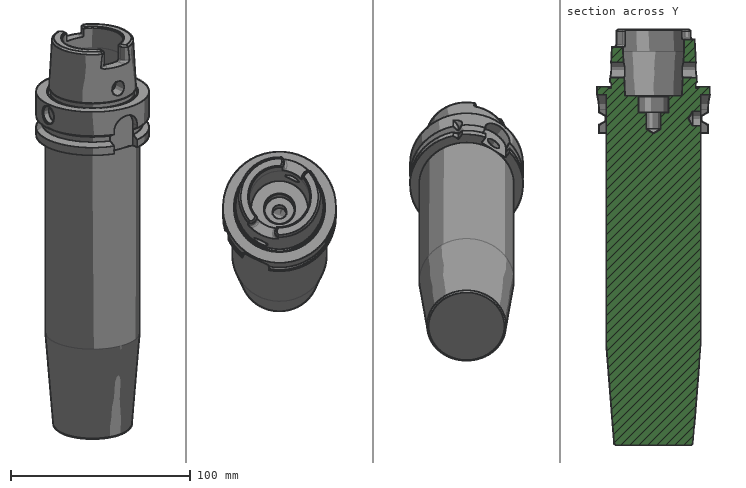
import cadquery as cq
import math


TOTAL_HEIGHT = 232
FLANGE_TOP = 200.0
FLANGE_BOTTOM = 174
GROOVE_TOP = 185.5
RIM_TOP = 178.5
CONE_TOP = 56.1

BODY_RADIUS = 26.5
NOSE_RADIUS = 22.0
NOSE_CHAMFER = 1.0

FLANGE_RADIUS = 31.5
GROOVE_RADIUS = 28.0
GROOVE_SLOPE_HEIGHT = 1.97

TAPER_BASE_RADIUS = 24.3
TAPER_TIP_RADIUS = 22.7
RIM_CHAMFER = 1.2
RELIEF_TOP = 202.5
RELIEF_RADIUS = 23.7
RELIEF_SLOPE = 0.7
FACE_RECESS_RADIUS = 25.5
FACE_RECESS_DEPTH = 0.7

BORE_RADIUS = 17.0
BORE_STRAIGHT_DEPTH = 12.3
CAVITY_DEPTH = 37
CAVITY_FLOOR_RADIUS = 15.8
BORE_CHAMFER = 0.7
COOLANT_RADIUS = 8.3
COOLANT_CHAMFER = 0.5
COOLANT_DEPTH = 9.3
CENTER_HOLE_RADIUS = 4.0
CENTER_HOLE_DEPTH = 9.3
DRILL_POINT_ANGLE = 118

SLOT_HALF_WIDTH = 6.0
SLOT_CORNER_RADIUS = 3.5
SLOT_CORNER_START = 17.5
SLOT_FLOOR_FILLET = 1.5
SLOT_INNER_END = 7
SHALLOW_SLOT_DEPTH = 5.8
DEEP_SLOT_DEPTH = 10.0

CROSS_HOLE_RADIUS = 4.2
CROSS_HOLE_LEVEL = 209.2

KEYWAY_RADIUS = 8.1
KEYWAY_CENTER_LEVEL = 187.1
KEYWAY_FLOOR = BODY_RADIUS
KEYWAY_HOLE_RADIUS = 4.0
KEYWAY_HOLE_LEVEL = 182.0
KEYWAY_HOLE_DEPTH = 4.6
NOTCH_RADIUS = 5.5
NOTCH_SIDE = 20.0
NOTCH_FLOOR = 20.9
NOTCH_CENTER_LEVEL = 187.8
CHIP_HOLE_RADIUS = 4.9
CHIP_HOLE_LEVEL = 193.2
CHIP_HOLE_DEPTH = 4.6
CHIP_HOLE_CHAMFER = 0.5
CHIP_PILOT_RADIUS = 0.5
CHIP_PILOT_DEPTH = 1.2

CLEARANCE = 4.6
OUTSIDE = FLANGE_RADIUS + CLEARANCE


def turned(profile):
    """Revolve a closed outline of (radius, height) points about Z."""
    return cq.Workplane("XZ").polyline(profile).close().revolve(360, (0, 0, 0), (0, 1, 0))


def drill(radius, depth, origin, direction):
    """Cylindrical drill body ending in a conical point beyond its depth."""
    point = cq.Vector(*origin)
    axis = cq.Vector(*direction)
    point_length = radius / math.tan(math.radians(DRILL_POINT_ANGLE / 2))
    shank = cq.Solid.makeCylinder(radius, depth, point, axis)
    tip = cq.Solid.makeCone(radius, 0, point_length, point + axis * depth, axis)
    return cq.Workplane(shank.fuse(tip))


def body():
    """Solid of revolution for the chuck, flange and taper."""
    return turned([
        (0, 0),
        (NOSE_RADIUS - NOSE_CHAMFER, 0),
        (NOSE_RADIUS, NOSE_CHAMFER),
        (BODY_RADIUS, CONE_TOP),
        (BODY_RADIUS, FLANGE_BOTTOM),
        (FLANGE_RADIUS, FLANGE_BOTTOM),
        (FLANGE_RADIUS, RIM_TOP),
        (GROOVE_RADIUS, RIM_TOP + GROOVE_SLOPE_HEIGHT),
        (GROOVE_RADIUS, GROOVE_TOP - GROOVE_SLOPE_HEIGHT),
        (FLANGE_RADIUS, GROOVE_TOP),
        (FLANGE_RADIUS, FLANGE_TOP),
        (FACE_RECESS_RADIUS, FLANGE_TOP),
        (FACE_RECESS_RADIUS - FACE_RECESS_DEPTH, FLANGE_TOP - FACE_RECESS_DEPTH),
        (RELIEF_RADIUS, FLANGE_TOP - FACE_RECESS_DEPTH),
        (RELIEF_RADIUS, RELIEF_TOP - RELIEF_SLOPE),
        (TAPER_BASE_RADIUS, RELIEF_TOP),
        (TAPER_TIP_RADIUS, TOTAL_HEIGHT - RIM_CHAMFER),
        (TAPER_TIP_RADIUS - RIM_CHAMFER, TOTAL_HEIGHT),
        (0, TOTAL_HEIGHT),
    ])


def cavity():
    """Bore of the hollow taper with the coolant socket and centre hole in its floor."""
    cavity_floor = TOTAL_HEIGHT - CAVITY_DEPTH
    coolant_floor = cavity_floor - COOLANT_DEPTH
    bore = turned([
        (0, coolant_floor),
        (COOLANT_RADIUS, coolant_floor),
        (COOLANT_RADIUS, cavity_floor - COOLANT_CHAMFER),
        (COOLANT_RADIUS + COOLANT_CHAMFER, cavity_floor),
        (CAVITY_FLOOR_RADIUS, cavity_floor),
        (BORE_RADIUS, TOTAL_HEIGHT - BORE_STRAIGHT_DEPTH),
        (BORE_RADIUS, TOTAL_HEIGHT - BORE_CHAMFER),
        (BORE_RADIUS + BORE_CHAMFER, TOTAL_HEIGHT),
        (0, TOTAL_HEIGHT),
    ])
    return bore.union(drill(CENTER_HOLE_RADIUS, CENTER_HOLE_DEPTH, (0, 0, coolant_floor), (0, 0, -1)))


def drive_slot_outline(level):
    """Closed outline of the +X rim slot, flaring outwards round the ends of the taper wall."""
    flare_x = SLOT_CORNER_START + SLOT_CORNER_RADIUS
    flare_y = SLOT_HALF_WIDTH + SLOT_CORNER_RADIUS
    outer_y = flare_y + CLEARANCE
    arc_x = SLOT_CORNER_START + SLOT_CORNER_RADIUS * math.sin(math.pi / 4)
    arc_y = flare_y - SLOT_CORNER_RADIUS * math.cos(math.pi / 4)
    return (
        cq.Workplane("XY", origin=(0, 0, level))
        .moveTo(SLOT_INNER_END, -SLOT_HALF_WIDTH)
        .lineTo(SLOT_CORNER_START, -SLOT_HALF_WIDTH)
        .threePointArc((arc_x, -arc_y), (flare_x, -flare_y))
        .lineTo(flare_x, -outer_y)
        .lineTo(OUTSIDE, -outer_y)
        .lineTo(OUTSIDE, outer_y)
        .lineTo(flare_x, outer_y)
        .lineTo(flare_x, flare_y)
        .threePointArc((arc_x, arc_y), (SLOT_CORNER_START, SLOT_HALF_WIDTH))
        .lineTo(SLOT_INNER_END, SLOT_HALF_WIDTH)
        .close()
    )


def drive_slot(depth):
    """Rim slot on the +X side with a filleted floor and chamfered upper edges."""
    slot = drive_slot_outline(TOTAL_HEIGHT - depth).extrude(depth)
    slot = slot.faces("<Z").edges().fillet(SLOT_FLOOR_FILLET)
    chamfered_mouth = drive_slot_outline(TOTAL_HEIGHT - RIM_CHAMFER).extrude(RIM_CHAMFER, taper=-45)
    return slot.union(chamfered_mouth)


def arched_slot(radius, center_y, center_level, floor):
    """Round-topped slot cut into the +X side of the flange and open at the flange bottom."""
    return (
        cq.Workplane("YZ", origin=(floor, 0, 0))
        .moveTo(center_y - radius, FLANGE_BOTTOM)
        .lineTo(center_y - radius, center_level)
        .threePointArc((center_y, center_level + radius), (center_y + radius, center_level))
        .lineTo(center_y + radius, FLANGE_BOTTOM)
        .close()
        .extrude(OUTSIDE - floor)
    )


def mirrored_to_minus_x(cutter):
    return cutter.mirror("YZ")


def chip_hole():
    """Round pocket with a chamfered mouth on the -Y side of the flange with a small centre pilot."""
    floor = FLANGE_RADIUS - CHIP_HOLE_DEPTH
    mouth = CHIP_HOLE_RADIUS + CHIP_HOLE_CHAMFER
    return (
        cq.Workplane("XY")
        .polyline([
            (0, -OUTSIDE),
            (mouth, -OUTSIDE),
            (mouth, -FLANGE_RADIUS + CHIP_HOLE_CHAMFER),
            (CHIP_HOLE_RADIUS, -FLANGE_RADIUS + 2 * CHIP_HOLE_CHAMFER),
            (CHIP_HOLE_RADIUS, -floor),
            (CHIP_PILOT_RADIUS, -floor),
            (CHIP_PILOT_RADIUS, -floor + CHIP_PILOT_DEPTH),
            (0, -floor + CHIP_PILOT_DEPTH),
        ])
        .close()
        .revolve(360, (0, 0, 0), (0, 1, 0))
        .translate((0, 0, CHIP_HOLE_LEVEL))
    )


def cross_hole():
    """Radial hole through both sides of the taper wall."""
    return (
        cq.Workplane("YZ", origin=(0, 0, CROSS_HOLE_LEVEL))
        .circle(CROSS_HOLE_RADIUS)
        .extrude(OUTSIDE, both=True)
    )


keyway = arched_slot(KEYWAY_RADIUS, 0, KEYWAY_CENTER_LEVEL, KEYWAY_FLOOR)
notch = arched_slot(NOTCH_RADIUS, NOTCH_SIDE + NOTCH_RADIUS, NOTCH_CENTER_LEVEL, NOTCH_FLOOR)
keyway_hole = drill(KEYWAY_HOLE_RADIUS, KEYWAY_HOLE_DEPTH, (-KEYWAY_FLOOR, 0, KEYWAY_HOLE_LEVEL), (1, 0, 0))

result = (
    body()
    .cut(cavity())
    .cut(drive_slot(DEEP_SLOT_DEPTH))
    .cut(mirrored_to_minus_x(drive_slot(SHALLOW_SLOT_DEPTH)))
    .cut(cross_hole())
    .cut(keyway)
    .cut(mirrored_to_minus_x(keyway))
    .cut(mirrored_to_minus_x(notch))
    .cut(keyway_hole)
    .cut(chip_hole())
)